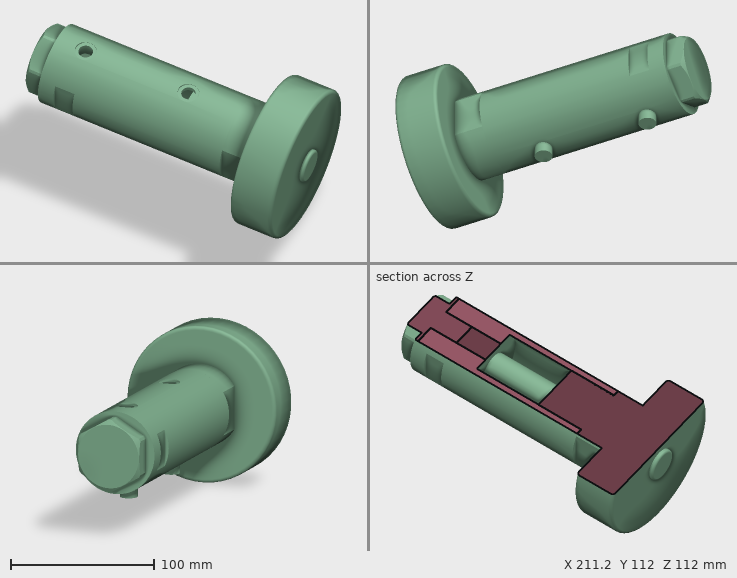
import cadquery as cq
import math

overall_length = 211.2
head_length = 12.9
collar_length = 2.3
housing_end = 154.5
disc_start = 175.7
disc_width = 32.3

barrel_diameter = 59.1
disc_diameter = 112.0
button_diameter = 24.0

head_across_flats = 46.0
head_corner_diameter = 52.0
head_face_diameter = 45.5
head_chamfer_length = 2.5

plug_bore_diameter = 38.5
plug_end = 38.2
spindle_bore_diameter = 51.1
bore_step = 63.4
rod_diameter = 23.2
journal_start = 117.0

housing_flat_start = 25.0
housing_flat_width = 15.0
housing_across_flats = 53.0
neck_across_flats = 50.3

feature_spacing = 80.3
hole_start = 35.5
hole_diameter = 10.1
spotface_diameter = 15.2
spotface_height = 28.3
pin_offset = 3.4
pin_diameter = 12.5
pin_tip = -36.7
pin_seat = -26.6

disc_fillet = 2.5
button_fillet = 1.7

collar_end = head_length + collar_length
disc_end = disc_start + disc_width
barrel_radius = barrel_diameter / 2
hole_positions = [hole_start, hole_start + feature_spacing]
pin_positions = [x + pin_offset for x in hole_positions]


def rod(start, end, diameter):
    """Solid cylinder on the X axis between two stations."""
    return cq.Workplane("YZ", origin=(start, 0, 0)).circle(diameter / 2).extrude(end - start)


def vertical_rod(x, bottom, top, diameter):
    """Solid cylinder parallel to Z at station x."""
    return cq.Workplane("XY", origin=(x, 0, bottom)).circle(diameter / 2).extrude(top - bottom)


def slab(start, end, across_flats):
    """Block whose two Y faces form parallel flats between two stations."""
    length = end - start
    return cq.Workplane("XY").box(length, across_flats, barrel_diameter).translate((start + length / 2, 0, 0))


def with_flats(body, start, end, across_flats):
    """Cut two opposite flats into a barrel between two stations."""
    waste = rod(start, end, barrel_diameter).cut(slab(start, end, across_flats))
    return body.cut(waste)


def make_housing():
    body = rod(collar_end, housing_end, barrel_diameter)
    body = with_flats(body, housing_flat_start, housing_flat_start + housing_flat_width, housing_across_flats)
    body = body.cut(rod(collar_end, bore_step, plug_bore_diameter))
    body = body.cut(rod(bore_step, housing_end, spindle_bore_diameter))
    for x in hole_positions:
        body = body.cut(vertical_rod(x, 0, barrel_radius, hole_diameter))
        body = body.cut(vertical_rod(x, spotface_height, barrel_radius, spotface_diameter))
    for x in pin_positions:
        body = body.cut(vertical_rod(x, pin_tip, pin_seat, pin_diameter))
    return body


def make_plug():
    across_corners = head_across_flats / math.cos(math.pi / 6)
    hexagon = (
        cq.Workplane("YZ").polygon(6, across_corners).extrude(head_length)
        .rotate((0, 0, 0), (1, 0, 0), 90)
    )
    envelope = (
        cq.Workplane("XY")
        .moveTo(0, 0)
        .lineTo(0, head_face_diameter / 2)
        .lineTo(head_chamfer_length, head_corner_diameter / 2)
        .lineTo(head_length, head_corner_diameter / 2)
        .lineTo(head_length, 0)
        .close()
        .revolve(360, (0, 0, 0), (1, 0, 0))
    )
    collar = rod(head_length, collar_end, barrel_diameter)
    shank = rod(collar_end, plug_end, plug_bore_diameter)
    return hexagon.intersect(envelope).union(collar).union(shank)


def make_spindle():
    tail = rod(plug_end, bore_step, plug_bore_diameter)
    stem = rod(bore_step, journal_start, rod_diameter)
    journal = rod(journal_start, housing_end, spindle_bore_diameter)
    neck = with_flats(rod(housing_end, disc_start, barrel_diameter), housing_end, disc_start, neck_across_flats)
    disc = rod(disc_start, disc_end, disc_diameter).edges().fillet(disc_fillet)
    button = rod(disc_end, overall_length, button_diameter).faces(">X").edges().fillet(button_fillet)
    return tail.union(stem).union(journal).union(neck).union(disc).union(button)


def make_pin(x):
    return vertical_rod(x, pin_tip, pin_seat, pin_diameter)


housing = make_housing()
plug = make_plug()
spindle = make_spindle()
pins = [make_pin(x) for x in pin_positions]

result = cq.Compound.makeCompound(
    [housing.val(), plug.val(), spindle.val(), *[pin.val() for pin in pins]]
)